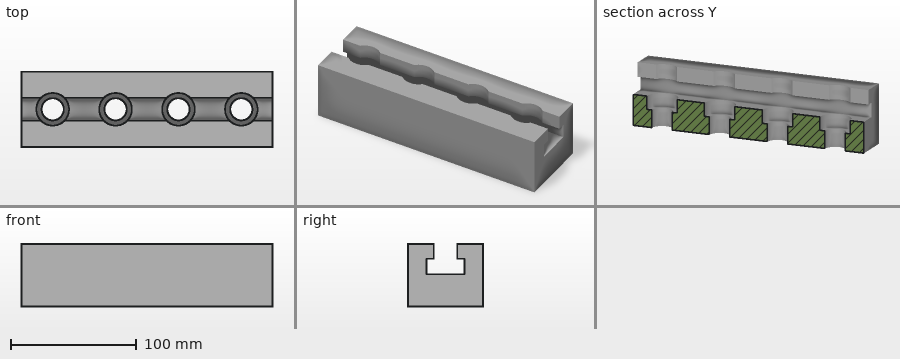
import cadquery as cq

LENGTH = 200.0
WIDTH = 60.0
HEIGHT = 50.0

SLOT_OPENING_WIDTH = 18.3
SLOT_LIP_HEIGHT = 12.0
SLOT_HEAD_WIDTH = 30.0
SLOT_HEAD_HEIGHT = 12.0
SLOT_DEPTH = SLOT_LIP_HEIGHT + SLOT_HEAD_HEIGHT

HOLE_COUNT = 4
HOLE_PITCH = LENGTH / HOLE_COUNT
HOLE_DIAMETER = 17.5
COUNTERBORE_DIAMETER = 26.0
SEAT_BELOW_SLOT_FLOOR = 11.0
COUNTERBORE_DEPTH = SLOT_DEPTH + SEAT_BELOW_SLOT_FLOOR


def make_block():
    """Plain block, centred in X and Y, standing on Z = 0."""
    return cq.Workplane("XY").box(LENGTH, WIDTH, HEIGHT, centered=(True, True, False))


def make_slot():
    """T-shaped slot volume along X: a narrow opening above a wider head."""
    centered = (True, True, False)
    head = (
        cq.Workplane("XY", origin=(0, 0, HEIGHT - SLOT_DEPTH))
        .box(LENGTH, SLOT_HEAD_WIDTH, SLOT_HEAD_HEIGHT, centered=centered)
    )
    opening = (
        cq.Workplane("XY", origin=(0, 0, HEIGHT - SLOT_LIP_HEIGHT))
        .box(LENGTH, SLOT_OPENING_WIDTH, SLOT_LIP_HEIGHT, centered=centered)
    )
    return head.union(opening)


def drill_holes(body):
    """Counterbored through holes on the centreline, cut from the top."""
    return (
        body.copyWorkplane(cq.Workplane("XY", origin=(0, 0, HEIGHT)))
        .rarray(HOLE_PITCH, 1, HOLE_COUNT, 1)
        .cboreHole(HOLE_DIAMETER, COUNTERBORE_DIAMETER, COUNTERBORE_DEPTH)
    )


result = drill_holes(make_block().cut(make_slot()))